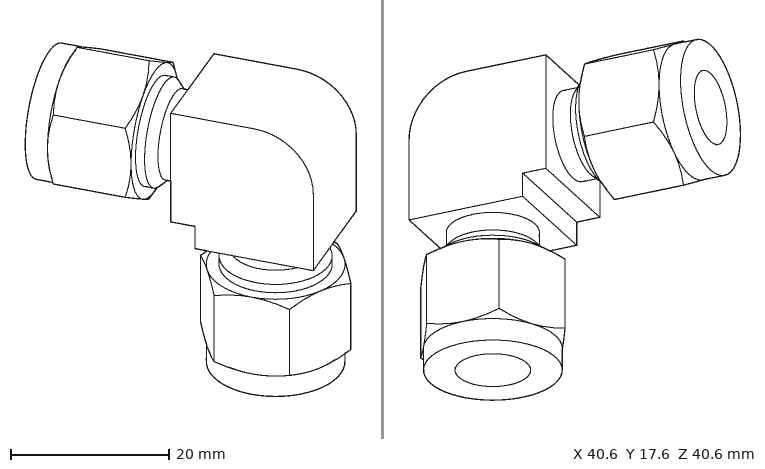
import cadquery as cq
import math

overall = 40.6
hex_sides = 6
hex_flats = 17.55
hex_corners = hex_flats / math.cos(math.pi / hex_sides)
arm_length = overall - hex_corners / 2

collar_length = 3.0
nut_end = 14.25
ferrule_end = 15.45
cone_end = 16.8

ferrule_diameter = 14.3
neck_diameter = 11.77
socket_diameter = 9.55
bore_diameter = 7.1

socket_depth = 16.8
bevel_angle = 30.0

block_half = 7.95
block_width = 15.85
block_reach = 11.2


def cylinder(diameter, start, end):
    """Cylinder along Z between two distances from the arm's open end."""
    return cq.Workplane("XY").workplane(offset=start).circle(diameter / 2).extrude(end - start)


def make_nut():
    """Hex nut with its corners bevelled at both ends."""
    corner_radius = hex_corners / 2
    flat_radius = hex_flats / 2
    bevel = (corner_radius - flat_radius) * math.tan(math.radians(bevel_angle))
    hexagon = (
        cq.Workplane("XY").workplane(offset=collar_length)
        .polygon(hex_sides, hex_corners).extrude(nut_end - collar_length)
    )
    envelope = (
        cq.Workplane("XZ")
        .moveTo(0, collar_length)
        .lineTo(flat_radius, collar_length)
        .lineTo(corner_radius, collar_length + bevel)
        .lineTo(corner_radius, nut_end - bevel)
        .lineTo(flat_radius, nut_end)
        .lineTo(0, nut_end)
        .close()
        .revolve(360, (0, 0, 0), (0, 1, 0))
    )
    return hexagon.intersect(envelope)


def make_arm():
    """Nut, ferrule and neck, with the open end at Z = 0 and the elbow at Z = arm_length."""
    cone = (
        cq.Workplane("XY").workplane(offset=ferrule_end).circle(ferrule_diameter / 2)
        .workplane(offset=cone_end - ferrule_end).circle(neck_diameter / 2).loft()
    )
    return (
        cylinder(hex_flats, 0, collar_length)
        .union(make_nut())
        .union(cylinder(ferrule_diameter, nut_end, ferrule_end))
        .union(cone)
        .union(cylinder(neck_diameter, cone_end, arm_length))
    )


def make_passage():
    """Tube socket and the smaller bore, which ends in a ball where the arms meet."""
    return (
        cylinder(socket_diameter, 0, socket_depth)
        .union(cylinder(bore_diameter, socket_depth, arm_length))
        .union(cq.Workplane("XY").sphere(bore_diameter / 2).translate((0, 0, arm_length)))
    )


def to_lower(solid):
    """Place an arm solid so that it opens toward -Z."""
    return solid.translate((0, 0, -arm_length))


def to_left(solid):
    """Place an arm solid so that it opens toward -X."""
    return to_lower(solid).rotate((0, 0, 0), (0, 1, 0), 90)


def make_block():
    """Elbow block with a notched inner corner and a rounded outer corner."""
    return (
        cq.Workplane("XZ")
        .moveTo(-block_reach, block_half)
        .lineTo(0, block_half)
        .radiusArc((block_half, 0), block_half)
        .lineTo(block_half, -block_reach)
        .lineTo(-block_half, -block_reach)
        .lineTo(-block_half, -block_half)
        .lineTo(-block_reach, -block_half)
        .close()
        .extrude(block_width / 2, both=True)
    )


arm = make_arm()
passage = make_passage()
result = make_block()
for place in (to_left, to_lower):
    result = result.union(place(arm))
for place in (to_left, to_lower):
    result = result.cut(place(passage))